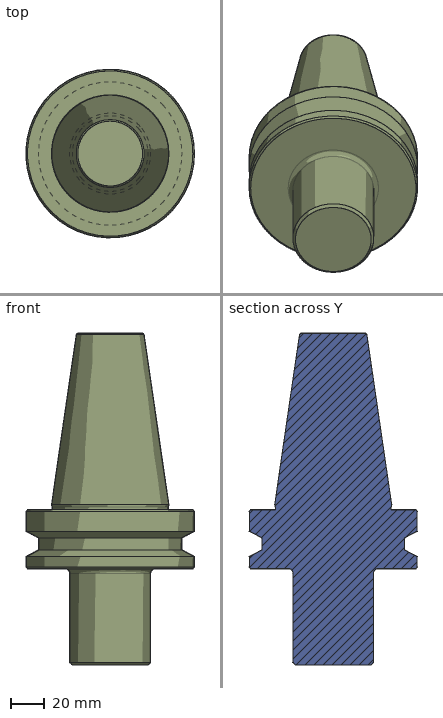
import cadquery as cq


gauge_radius = 34.8
taper_length = 101.7
taper_ratio = 7 / 24
tip_radius = gauge_radius - taper_length * taper_ratio / 2
tip_chamfer = 0.8

neck_length = 3.0
relief_height = 1.5
relief_depth = 0.3

flange_radius = 50.0
flange_thickness = 35.0
flange_chamfer = 1.0
groove_radius = 42.5
groove_floor_width = 7.0
groove_mouth_width = 15.0
groove_center_depth = 23.2

total_length = 196.8
shank_radius = 24.0
shank_chamfer = 1.5
shank_fillet = 2.8

flange_top = -neck_length
flange_bottom = flange_top - flange_thickness
shank_bottom = taper_length - total_length
relief_radius = gauge_radius - relief_depth
relief_top = flange_top + relief_height


def revolve_about_z(profile):
    """Turn a closed (radius, height) profile about the Z axis."""
    return profile.close().revolve(360, (0, 0, 0), (0, 1, 0))


def make_taper():
    taper = revolve_about_z(
        cq.Workplane("XZ")
        .moveTo(0, flange_top)
        .lineTo(relief_radius, flange_top)
        .lineTo(relief_radius, relief_top)
        .lineTo(gauge_radius, 0)
        .lineTo(tip_radius, taper_length)
        .lineTo(0, taper_length)
    )
    return taper.faces(">Z").edges().chamfer(tip_chamfer)


def make_flange():
    blank = cq.Workplane("XY").workplane(offset=flange_bottom).circle(flange_radius).extrude(flange_thickness)
    blank = blank.faces("<Z or >Z").edges().chamfer(flange_chamfer)
    half_mouth = groove_mouth_width / 2
    half_floor = groove_floor_width / 2
    groove = revolve_about_z(
        cq.Workplane("XZ")
        .moveTo(flange_radius, half_mouth - groove_center_depth)
        .lineTo(groove_radius, half_floor - groove_center_depth)
        .lineTo(groove_radius, -half_floor - groove_center_depth)
        .lineTo(flange_radius, -half_mouth - groove_center_depth)
    )
    return blank.cut(groove)


def make_shank():
    fillet_outer_radius = shank_radius + shank_fillet
    shank = revolve_about_z(
        cq.Workplane("XZ")
        .moveTo(0, flange_bottom)
        .lineTo(fillet_outer_radius, flange_bottom)
        .radiusArc((shank_radius, flange_bottom - shank_fillet), -shank_fillet)
        .lineTo(shank_radius, shank_bottom)
        .lineTo(0, shank_bottom)
    )
    return shank.faces("<Z").edges().chamfer(shank_chamfer)


result = make_taper().union(make_flange()).union(make_shank())